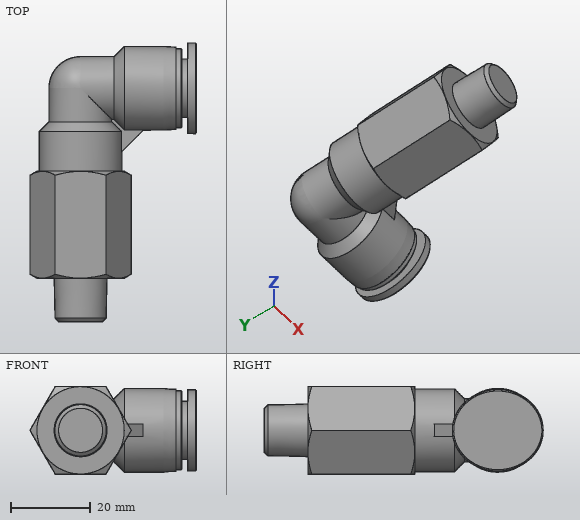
import cadquery as cq
import math


elbow_radius = 8.05
shoulder_start = 8.45
barrel_radius = 21.0 / 2
socket_radius = 21.2 / 2
barrel_shoulder_end = shoulder_start + barrel_radius - elbow_radius
socket_shoulder_end = shoulder_start + socket_radius - elbow_radius
taper_start = 21.0
taper_end = 24.1
taper_end_radius = 20.8 / 2
lip_radius = 20.0 / 2
lip_end = 25.6
lip_chamfer = 0.2
rib_thickness = 3.25
rib_reach = 26.45
rib_end = rib_reach - socket_radius

hex_start = 20.95
hex_length = 27.1
hex_flats = 22.2
hex_corners = hex_flats / math.cos(math.radians(30))
hex_face_radius = hex_flats / 2 - 0.1
hex_chamfer_angle = 30
cone_margin = 0.7
hex_end = hex_start + hex_length
stud_end = 59.0
stud_tip_chamfer = 0.9
stud_root_radius = 13.4 / 2
stud_tip_radius = 13.0 / 2

neck_radius = 14.8 / 2
flange_start = 27.1
ring_end = 29.3
flange_length = ring_end - flange_start
flange_height = 23.0
flange_width = 20.6
flange_chamfer = 0.35


def turned_on_x(profile):
    """Revolve a closed (x, radius) outline about X."""
    return cq.Workplane("XY").polyline(profile).close().revolve(360, (0, 0), (1, 0))


def turned_on_y(profile):
    """Revolve a closed (distance towards -Y, radius) outline about Y."""
    points = [(radius, -distance) for distance, radius in profile]
    return cq.Workplane("XY").polyline(points).close().revolve(360, (0, 0), (0, 1))


def make_elbow():
    nipple_arm = turned_on_y([
        (0, 0),
        (0, elbow_radius),
        (shoulder_start, elbow_radius),
        (barrel_shoulder_end, barrel_radius),
        (hex_start, barrel_radius),
        (hex_start, 0),
    ])
    tube_arm = turned_on_x([
        (0, 0),
        (0, elbow_radius),
        (shoulder_start, elbow_radius),
        (socket_shoulder_end, socket_radius),
        (taper_start, socket_radius),
        (taper_end, taper_end_radius),
        (taper_end, lip_radius),
        (lip_end - lip_chamfer, lip_radius),
        (lip_end, lip_radius - lip_chamfer),
        (lip_end, 0),
    ])
    corner = cq.Workplane("XY").sphere(elbow_radius)
    rib = (
        cq.Workplane("XY")
        .polyline([(0, 0), (rib_end, 0), (rib_end, -socket_radius), (0, -rib_reach)])
        .close()
        .extrude(rib_thickness / 2, both=True)
    )
    return nipple_arm.union(tube_arm).union(corner).union(rib)


def make_nipple():
    hexagon = (
        cq.Workplane("XZ", origin=(0, -hex_start, 0))
        .polygon(6, hex_corners)
        .extrude(hex_length)
    )
    cone_radius = hex_corners / 2 + cone_margin
    cone_length = (cone_radius - hex_face_radius) * math.tan(math.radians(hex_chamfer_angle))
    trimming_cones = turned_on_y([
        (hex_start, 0),
        (hex_start, hex_face_radius),
        (hex_start + cone_length, cone_radius),
        (hex_end - cone_length, cone_radius),
        (hex_end, hex_face_radius),
        (hex_end, 0),
    ])
    stud = turned_on_y([
        (hex_end, 0),
        (hex_end, stud_root_radius),
        (stud_end - stud_tip_chamfer, stud_tip_radius),
        (stud_end, stud_tip_radius - stud_tip_chamfer),
        (stud_end, 0),
    ])
    return hexagon.intersect(trimming_cones).union(stud)


def make_release_ring():
    neck = cq.Workplane("YZ", origin=(lip_end, 0, 0)).circle(neck_radius).extrude(flange_start - lip_end)
    flange = (
        cq.Workplane("YZ", origin=(flange_start, 0, 0))
        .ellipse(flange_height / 2, flange_width / 2)
        .extrude(flange_length)
        .faces(">X")
        .chamfer(flange_chamfer)
    )
    return neck.union(flange)


elbow = make_elbow()
nipple = make_nipple()
release_ring = make_release_ring()

result = cq.Compound.makeCompound([elbow.val(), nipple.val(), release_ring.val()])